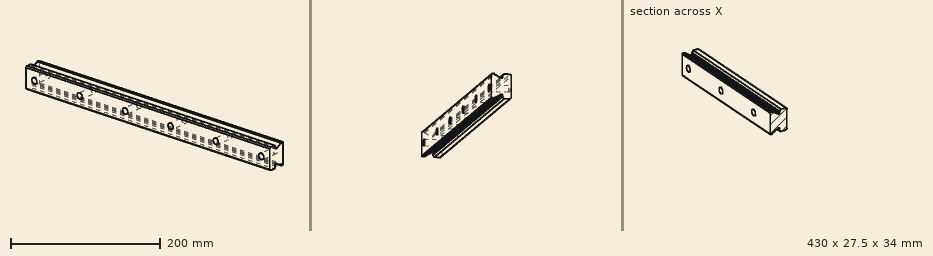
import cadquery as cq

length = 430.0
height = 27.5
width = 34.0
half_width = width / 2

base_chamfer = 2.0
head_chamfer = 1.2

foot_height = 10.0
wall_height = 12.0
shoulder_depth = 3.0
wall_depth = 5.0
floor_start_height = 12.6
floor_end_height = 14.2
groove_depth = 6.1
flank_end_height = 21.0
flank_end_depth = 2.0
lip_height = 23.6
lip_root_depth = 1.0

hole_count = 6
hole_pitch = 80.0
hole_diameter = 9.0


def side_outline():
    """Points (Y, Z) of one long side, from the mounting face to the head."""
    heights_and_depths = [
        (0, base_chamfer),
        (base_chamfer, 0),
        (foot_height, 0),
        (wall_height, shoulder_depth),
        (wall_height, wall_depth),
        (floor_start_height, groove_depth),
        (floor_end_height, groove_depth),
        (flank_end_height, flank_end_depth),
        (lip_height, lip_root_depth),
        (lip_height, 0),
        (height - head_chamfer, 0),
        (height, head_chamfer),
    ]
    return [(y, half_width - depth) for y, depth in heights_and_depths]


def make_rail():
    """Extrude the symmetric profile along X, centred on the origin in X."""
    upper_side = side_outline()
    lower_side = [(y, -z) for y, z in reversed(upper_side)]
    profile = cq.Workplane("YZ").polyline(upper_side + lower_side).close()
    return profile.extrude(length / 2, both=True)


def make_mounting_holes():
    """Plain cylinders through the full height of the rail."""
    first_x = -hole_pitch * (hole_count - 1) / 2
    centres = [(first_x + i * hole_pitch, 0) for i in range(hole_count)]
    plane = cq.Workplane("XZ")
    return plane.pushPoints(centres).circle(hole_diameter / 2).extrude(-height)


result = make_rail().cut(make_mounting_holes())